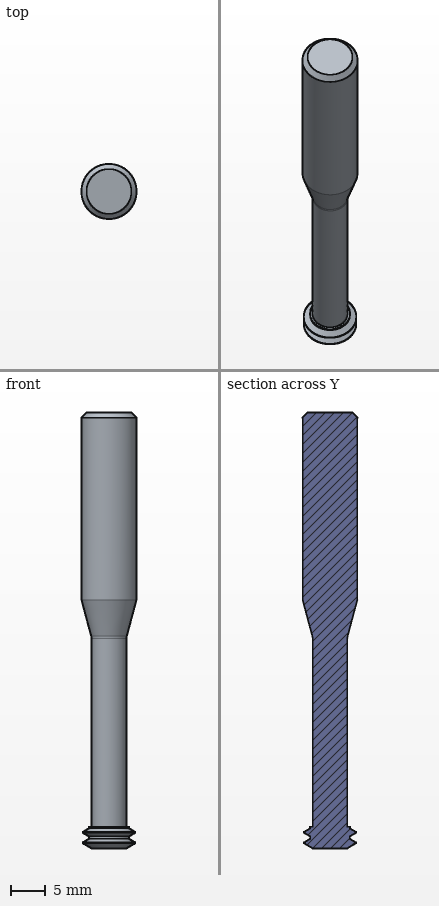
import cadquery as cq
import math

total_length = 63.0
shank_radius = 8.0 / 2
shank_chamfer = 0.75
shank_bottom = 36.0

neck_radius = 5.1 / 2
cone_half_angle = math.radians(15)
blend_radius = 1.45

head_radius = 7.6 / 2
root_radius = 5.8 / 2
head_top = 3.15
upper_crest_top = 2.4
lower_crest_top = 0.9
crest_width = 0.1
flank_slope = math.tan(math.radians(30))
flank_height = (head_radius - root_radius) * flank_slope
upper_crest_bottom = upper_crest_top - crest_width
lower_crest_bottom = lower_crest_top - crest_width
tip_radius = head_radius - lower_crest_bottom / flank_slope

cone_foot = shank_bottom - (shank_radius - neck_radius) / math.tan(cone_half_angle)
blend_bottom = cone_foot - blend_radius * math.tan(cone_half_angle / 2)


def blend_point(angle):
    """Radius and height on the blend arc, turned by angle from the neck."""
    radius = neck_radius + blend_radius * (1 - math.cos(angle))
    return radius, blend_bottom + blend_radius * math.sin(angle)


profile = (
    cq.Workplane("XZ")
    .moveTo(0, 0)
    .lineTo(tip_radius, 0)
    .lineTo(head_radius, lower_crest_bottom)
    .lineTo(head_radius, lower_crest_top)
    .lineTo(root_radius, lower_crest_top + flank_height)
    .lineTo(root_radius, upper_crest_bottom - flank_height)
    .lineTo(head_radius, upper_crest_bottom)
    .lineTo(head_radius, upper_crest_top)
    .lineTo(root_radius, upper_crest_top + flank_height)
    .lineTo(root_radius, head_top)
    .lineTo(neck_radius, head_top)
    .lineTo(neck_radius, blend_bottom)
    .threePointArc(blend_point(cone_half_angle / 2), blend_point(cone_half_angle))
    .lineTo(shank_radius, shank_bottom)
    .lineTo(shank_radius, total_length - shank_chamfer)
    .lineTo(shank_radius - shank_chamfer, total_length)
    .lineTo(0, total_length)
    .close()
)

result = profile.revolve(360, (0, 0), (0, 1))